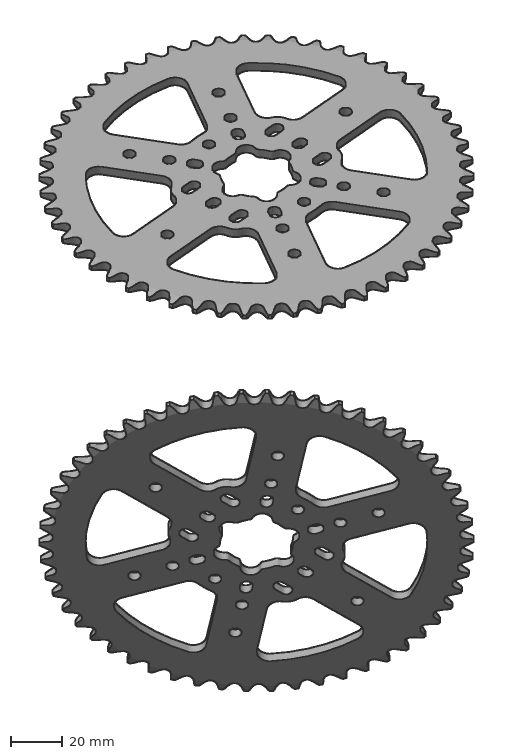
import cadquery as cq
import math

thickness = 4.0
tooth_count = 54
tip_radius = 84.6
chain_pitch = 2 * tip_radius / (0.6 + 1 / math.tan(math.pi / tooth_count))
roller_radius = 2.5
seat_clearance = 0.05
seat_end_angle = 36.0
working_radius = 6.6
working_end_angle = 19.0
tip_half_width = 0.7
bevel_start_radius = 80.4
bevel_angle = 14.0

spoke_count = 6
spoke_spacing = 360 / spoke_count
spoke_half_width = 10.0
rim_inner_radius = 66.5
hub_radius = 31.8
pocket_fillet = 5.0

hole_diameter = 4.9
hole_radius = hole_diameter / 2
bolt_radius = 25.4
inner_bolt_radius = 23.9
middle_bolt_radius = 34.9
outer_bolt_radius = 2 * bolt_radius
side_slot_travel = 3.4
boss_radius = 6.8

bore_radius = 14.2
lobe_tip_radius = 17.6
lobe_radius = 4.0
lobe_blend = 2.0

spoke_angles = [spoke_spacing * (spoke + 0.5) for spoke in range(spoke_count)]
side_slot_x = bolt_radius * math.cos(math.radians(spoke_spacing))
side_slot_inner_y = bolt_radius * math.sin(math.radians(spoke_spacing))
side_slot_outer_y = side_slot_inner_y + side_slot_travel


def polar(radius, degrees):
    angle = math.radians(degrees)
    return (radius * math.cos(angle), radius * math.sin(angle))


def turned(point, degrees):
    cosine, sine = polar(1, degrees)
    x, y = point
    return (x * cosine - y * sine, x * sine + y * cosine)


def cylinder(radius, center=(0, 0)):
    return cq.Workplane("XY").center(*center).circle(radius).extrude(thickness)


def toothed_blank():
    """Disc with a round roller seat between each pair of round-topped teeth."""
    step = 360 / tooth_count
    pitch_radius = chain_pitch / 2 / math.sin(math.pi / tooth_count)
    seat_radius = roller_radius + seat_clearance
    tip_half_angle = math.degrees(math.asin(tip_half_width / tip_radius))

    def on_seat(angle):
        sine, cosine = math.sin(math.radians(angle)), math.cos(math.radians(angle))
        return (pitch_radius - seat_radius * sine, seat_radius * cosine)

    def on_working_curve(angle):
        seat_x, seat_y = on_seat(seat_end_angle)
        sine_change = math.sin(math.radians(seat_end_angle)) - math.sin(math.radians(angle))
        cosine_change = math.cos(math.radians(angle)) - math.cos(math.radians(seat_end_angle))
        return (seat_x + working_radius * sine_change, seat_y + working_radius * cosine_change)

    seat_bottom = (pitch_radius - seat_radius, 0)
    seat_end = on_seat(seat_end_angle)
    working_middle = on_working_curve((seat_end_angle + working_end_angle) / 2)
    working_end = on_working_curve(working_end_angle)
    tip_corner = polar(tip_radius, step / 2 - tip_half_angle)

    run_x = tip_corner[0] - working_end[0]
    run_y = tip_corner[1] - working_end[1]
    turn = math.atan2(run_y, run_x) - math.radians(working_end_angle)
    bulge_ratio = math.tan(turn / 2) / 2
    top_middle = (
        (working_end[0] + tip_corner[0]) / 2 + bulge_ratio * run_y,
        (working_end[1] + tip_corner[1]) / 2 - bulge_ratio * run_x,
    )

    def mirrored(point):
        return (point[0], -point[1])

    outline = cq.Workplane("XY").moveTo(*mirrored(tip_corner))
    for tooth in range(tooth_count):
        gap = tooth * step
        next_tip = gap + step / 2
        arcs = [
            (mirrored(top_middle), mirrored(working_end)),
            (mirrored(working_middle), mirrored(seat_end)),
            (seat_bottom, seat_end),
            (working_middle, working_end),
            (top_middle, tip_corner),
        ]
        for middle, end in arcs:
            outline = outline.threePointArc(turned(middle, gap), turned(end, gap))
        outline = outline.threePointArc(
            polar(tip_radius, next_tip), polar(tip_radius, next_tip + tip_half_angle)
        )
    return outline.close().extrude(thickness)


def bevelled_envelope():
    """Turned shape whose rim tapers the teeth on both faces."""
    taper_drop = (tip_radius - bevel_start_radius) * math.tan(math.radians(bevel_angle))
    return (
        cq.Workplane("XZ")
        .lineTo(bevel_start_radius, 0)
        .lineTo(tip_radius, taper_drop)
        .lineTo(tip_radius, thickness - taper_drop)
        .lineTo(bevel_start_radius, thickness)
        .lineTo(0, thickness)
        .close()
        .revolve(360, (0, 0, 0), (0, 1, 0))
    )


def pocket(middle_angle, inner_radius, boss_center=None):
    """Opening between two spokes, with rounded corners."""
    half_opening = math.radians(spoke_spacing / 2)
    apex = spoke_half_width / math.sin(half_opening)
    far_x = apex + rim_inner_radius
    far_y = rim_inner_radius * math.tan(half_opening)
    wedge = (
        cq.Workplane("XY")
        .polyline([
            polar(apex, middle_angle),
            turned((far_x, -far_y), middle_angle),
            turned((far_x, far_y), middle_angle),
        ])
        .close()
        .extrude(thickness)
    )
    opening = wedge.intersect(cylinder(rim_inner_radius)).cut(cylinder(inner_radius))
    if boss_center:
        opening = opening.cut(cylinder(boss_radius, boss_center))
    return opening.edges("|Z").fillet(pocket_fillet)


def bore():
    """Round bore with a rounded lobe blended in beneath each spoke."""
    shape = cylinder(bore_radius)
    for angle in spoke_angles:
        shape = shape.union(cylinder(lobe_radius, polar(lobe_tip_radius - lobe_radius, angle)))
    return shape.edges("|Z").fillet(lobe_blend)


def slot(start, end):
    """Round-ended slot between two hole centres."""
    length = math.dist(start, end)
    angle = math.degrees(math.atan2(end[1] - start[1], end[0] - start[0]))
    middle = ((start[0] + end[0]) / 2, (start[1] + end[1]) / 2)
    return (
        cq.Workplane("XY")
        .center(*middle)
        .slot2D(length + hole_diameter, hole_diameter, angle)
        .extrude(thickness)
    )


plate = bevelled_envelope().cut(bore())

for angle in (0, 180):
    plate = plate.cut(pocket(angle, hub_radius))
    plate = plate.cut(cylinder(hole_radius, polar(bolt_radius, angle)))

boss_distance = math.hypot(side_slot_x, side_slot_outer_y)
for x_sign in (1, -1):
    for y_sign in (1, -1):
        slot_x = x_sign * side_slot_x
        outer_end = (slot_x, y_sign * side_slot_outer_y)
        inner_end = (slot_x, y_sign * side_slot_inner_y)
        middle_angle = math.degrees(math.atan2(inner_end[1], inner_end[0]))
        plate = plate.cut(pocket(middle_angle, boss_distance, outer_end))
        plate = plate.cut(slot(inner_end, outer_end))

vertical_spokes = (90, 270)
for angle in spoke_angles:
    plate = plate.cut(slot(polar(inner_bolt_radius, angle), polar(bolt_radius, angle)))
    plate = plate.cut(cylinder(hole_radius, polar(outer_bolt_radius, angle)))
    if angle not in vertical_spokes:
        plate = plate.cut(cylinder(hole_radius, polar(middle_bolt_radius, angle)))

result = plate.intersect(toothed_blank())